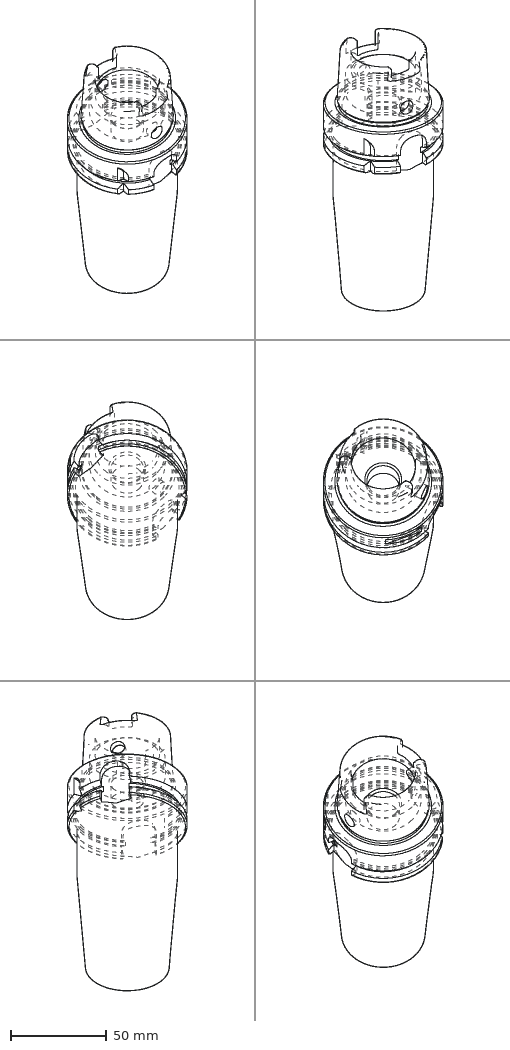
import cadquery as cq
import math

total_height = 147.0
body_radius = 26.5
nose_radius = 22.0
nose_fillet = 1.0
cone_top_z = 57.5

flange_diameter = 63.0
flange_radius = flange_diameter / 2
flange_top_z = 115.0
flange_chamfer = 0.9
flange_bottom_z = 89.2
body_fillet = 2.0
body_top_z = flange_bottom_z - body_fillet
groove_radius = 27.3
groove_flank_radius = 28.5
groove_low_edge_z = 93.8
groove_high_edge_z = 100.4
groove_flank_angle = math.radians(30)
groove_flank_height = (flange_radius - groove_flank_radius) * math.tan(groove_flank_angle)

taper_base_radius = 24.3
taper_top_radius = 22.8
taper_base_z = 117.2
relief_radius = 23.7
relief_top_z = 116.3
relief_bottom_z = 114.4
relief_outer_radius = 25.5
rim_fillet = 0.9

lip_radius = 16.9
lip_bottom_z = 134.2
cavity_radius = 20.0
cavity_floor_z = 117.5
cavity_floor_fillet = 4.3
lip_cone_angle = math.radians(30)
lip_cone_height = (cavity_radius - lip_radius) * math.tan(lip_cone_angle)
center_hole_radius = 8.5
center_hole_chamfer = 1.2
center_hole_depth = 11.8
cross_hole_radius = 3.8
cross_hole_z = 123.9

drive_slot_half_width = 6.3
drive_flat_x = 20.7
drive_flat_half_width = 16.2
drive_corner_radius = 3.0
drive_floor_fillet = 0.9
deep_slot_floor_z = 137.2
shallow_slot_floor_z = 141.3

keyway_floor_x = body_radius
wide_keyway_width = 18.2
narrow_keyway_width = 15.9
keyway_top_z = 110.2
keyway_corner_radius = 7.2
notch_offset = 20.1
notch_radius = 8.8
notch_straight_top_z = 103.0
label_distance = 29.8
label_low_z = 105.1
label_high_z = 111.1
label_direction = 135

outside = 2 * flange_radius


def turned_body():
    """Revolve the outer outline about Z."""
    return (
        cq.Workplane("XZ")
        .lineTo(nose_radius, 0)
        .lineTo(body_radius, cone_top_z)
        .lineTo(body_radius, body_top_z)
        .radiusArc((body_radius + body_fillet, flange_bottom_z), body_fillet)
        .lineTo(flange_radius - flange_chamfer, flange_bottom_z)
        .lineTo(flange_radius, flange_bottom_z + flange_chamfer)
        .lineTo(flange_radius, groove_low_edge_z)
        .lineTo(groove_flank_radius, groove_low_edge_z + groove_flank_height)
        .lineTo(groove_radius, groove_low_edge_z + groove_flank_height)
        .lineTo(groove_radius, groove_high_edge_z - groove_flank_height)
        .lineTo(groove_flank_radius, groove_high_edge_z - groove_flank_height)
        .lineTo(flange_radius, groove_high_edge_z)
        .lineTo(flange_radius, flange_top_z - flange_chamfer)
        .lineTo(flange_radius - flange_chamfer, flange_top_z)
        .lineTo(relief_outer_radius, flange_top_z)
        .lineTo(relief_radius, relief_bottom_z)
        .lineTo(relief_radius, relief_top_z)
        .lineTo(taper_base_radius, taper_base_z)
        .lineTo(taper_top_radius, total_height)
        .lineTo(0, total_height)
        .close()
        .revolve(360, (0, 0), (0, 1))
        .faces("<Z").edges().fillet(nose_fillet)
    )


def cavity():
    """Undercut clamping cavity with a blind centre hole in its floor."""
    hole_bottom_z = cavity_floor_z - center_hole_depth
    return (
        cq.Workplane("XZ")
        .moveTo(0, hole_bottom_z)
        .lineTo(center_hole_radius, hole_bottom_z)
        .lineTo(center_hole_radius, cavity_floor_z - center_hole_chamfer)
        .lineTo(center_hole_radius + center_hole_chamfer, cavity_floor_z)
        .lineTo(cavity_radius - cavity_floor_fillet, cavity_floor_z)
        .radiusArc((cavity_radius, cavity_floor_z + cavity_floor_fillet), -cavity_floor_fillet)
        .lineTo(cavity_radius, lip_bottom_z - lip_cone_height)
        .lineTo(lip_radius, lip_bottom_z)
        .lineTo(lip_radius, total_height)
        .lineTo(0, total_height)
        .close()
        .revolve(360, (0, 0), (0, 1))
    )


def cross_hole():
    return (
        cq.Workplane("YZ")
        .center(0, cross_hole_z)
        .circle(cross_hole_radius)
        .extrude(flange_radius, both=True)
    )


def drive_slot(side, floor_z):
    """T-shaped cutter: a radial slot opening into a milled flat; side is +1 or -1 along X."""
    half_slot = drive_slot_half_width
    half_flat = drive_flat_half_width
    height = total_height - floor_z
    cutter = (
        cq.Workplane("XY", origin=(0, 0, floor_z))
        .moveTo(0, -half_slot)
        .lineTo(side * (drive_flat_x - drive_corner_radius), -half_slot)
        .radiusArc((side * drive_flat_x, -half_slot - drive_corner_radius), side * drive_corner_radius)
        .lineTo(side * drive_flat_x, -half_flat)
        .lineTo(side * outside, -half_flat)
        .lineTo(side * outside, half_flat)
        .lineTo(side * drive_flat_x, half_flat)
        .lineTo(side * drive_flat_x, half_slot + drive_corner_radius)
        .radiusArc((side * (drive_flat_x - drive_corner_radius), half_slot), side * drive_corner_radius)
        .lineTo(0, half_slot)
        .close()
        .extrude(height)
    )
    return cutter.faces("<Z").edges().fillet(drive_floor_fillet)


def keyway(side, width):
    """Flat-bottomed keyway with rounded upper corners. side is +1 or -1 along X."""
    height = keyway_top_z - body_top_z
    depth = outside - keyway_floor_x
    return (
        cq.Workplane("XY")
        .box(depth, width, height)
        .edges("|X and >Z").fillet(keyway_corner_radius)
        .translate((side * (keyway_floor_x + depth / 2), 0, body_top_z + height / 2))
    )


def notch():
    """Corner notch in the flange at +X, -Y with a rounded upper end."""
    arc_center_y = -notch_offset - notch_radius
    return (
        cq.Workplane("YZ", origin=(notch_offset, 0, 0))
        .moveTo(-notch_offset, flange_bottom_z)
        .lineTo(-notch_offset, notch_straight_top_z)
        .radiusArc((arc_center_y, notch_straight_top_z + notch_radius), -notch_radius)
        .lineTo(-outside, notch_straight_top_z + notch_radius)
        .lineTo(-outside, flange_bottom_z)
        .close()
        .extrude(outside)
    )


def label_flat():
    """Shallow flat on the flange facing the (-X, +Y) diagonal."""
    depth = outside - label_distance
    height = label_high_z - label_low_z
    return (
        cq.Workplane("XY")
        .box(depth, outside, height)
        .translate((label_distance + depth / 2, 0, label_low_z + height / 2))
        .rotate((0, 0, 0), (0, 0, 1), label_direction)
    )


shank = turned_body().cut(cavity())
shank = shank.cut(drive_slot(-1, deep_slot_floor_z))
shank = shank.cut(drive_slot(1, shallow_slot_floor_z))
shank = shank.faces(">Z").edges().fillet(rim_fillet)
shank = shank.cut(cross_hole())
shank = shank.cut(keyway(-1, wide_keyway_width))
shank = shank.cut(keyway(1, narrow_keyway_width))
shank = shank.cut(notch())
result = shank.cut(label_flat())